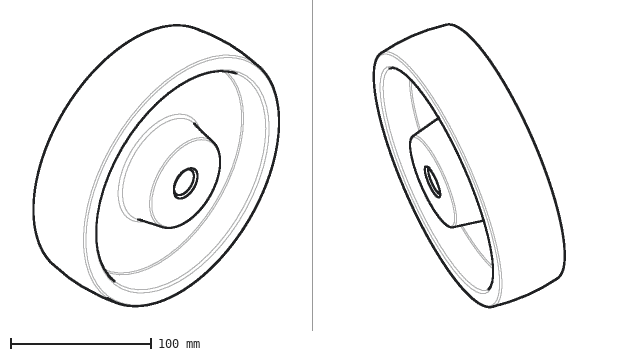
import cadquery as cq

wheel_radius = 101.0
tread_edge_radius = 98.5
rim_half_width = 26.0
hub_half_length = 29.5
web_half_thickness = 3.8

hub_tip_radius = 35.4
hub_root_radius = 40.5
recess_floor_radius = 83.5
recess_mouth_radius = 86.3

bore_radius = 10.0
bore_chamfer = 1.8
tread_fillet = 1.5
mouth_fillet = 1.8
floor_fillet = 1.0
hub_tip_fillet = 1.2
hub_root_fillet = 2.5


def wheel_body():
    """Revolve the web, rim and hub profile, drawn as (axial X, radius Y)."""
    profile = (
        cq.Workplane("XY")
        .moveTo(-hub_half_length, 0)
        .lineTo(-hub_half_length, hub_tip_radius)
        .lineTo(-web_half_thickness, hub_root_radius)
        .lineTo(-web_half_thickness, recess_floor_radius)
        .lineTo(-rim_half_width, recess_mouth_radius)
        .lineTo(-rim_half_width, tread_edge_radius)
        .threePointArc((0, wheel_radius), (rim_half_width, tread_edge_radius))
        .lineTo(rim_half_width, recess_mouth_radius)
        .lineTo(web_half_thickness, recess_floor_radius)
        .lineTo(web_half_thickness, hub_root_radius)
        .lineTo(hub_half_length, hub_tip_radius)
        .lineTo(hub_half_length, 0)
        .close()
    )
    return profile.revolve(360, (0, 0, 0), (1, 0, 0))


def circle_pair(axial, radius):
    """Select the circular edges of this radius at +axial and -axial."""
    tolerance = 0.1
    reach = radius + tolerance
    inner = radius - tolerance

    class CirclePair(cq.Selector):
        def filter(self, edges):
            return [
                edge for edge in edges
                if edge.geomType() == "CIRCLE"
                and inner < edge.radius() < reach
                and abs(abs(edge.Center().x) - axial) < tolerance
            ]

    return CirclePair()


def round_edges(body):
    """Round the matching circular edges on both sides of the wheel."""
    rounds = [
        (rim_half_width, tread_edge_radius, tread_fillet),
        (rim_half_width, recess_mouth_radius, mouth_fillet),
        (web_half_thickness, recess_floor_radius, floor_fillet),
        (web_half_thickness, hub_root_radius, hub_root_fillet),
        (hub_half_length, hub_tip_radius, hub_tip_fillet),
    ]
    for axial, radius, fillet in rounds:
        body = body.edges(circle_pair(axial, radius)).fillet(fillet)
    return body


def cut_bore(body):
    """Cut the through bore and chamfer both of its ends."""
    bored = body.faces(">X").workplane(origin=(0, 0, 0)).circle(bore_radius).cutThruAll()
    return bored.edges(circle_pair(hub_half_length, bore_radius)).chamfer(bore_chamfer)


result = cut_bore(round_edges(wheel_body()))